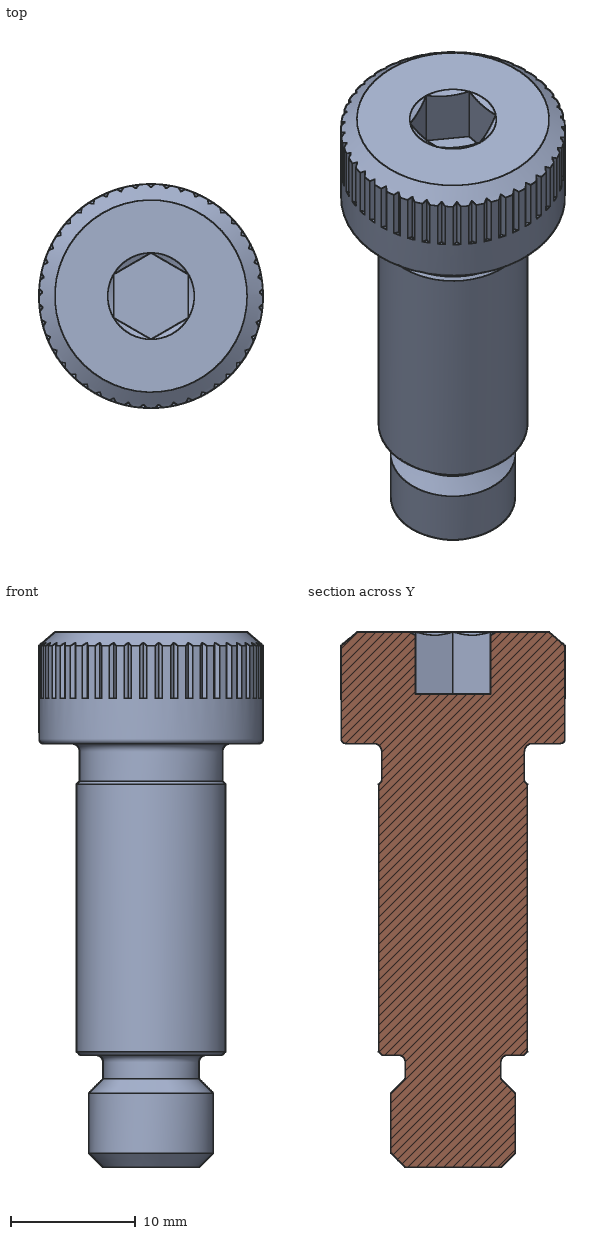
import cadquery as cq
import math

total_length = 43.0
head_height = 9.0
tip_length = 9.0
neck_length = 3.0
undercut_length = 1.9
head_base_z = total_length - head_height
neck_base_z = head_base_z - neck_length
undercut_base_z = tip_length - undercut_length

head_radius = 18.0 / 2
neck_radius = 11.52 / 2
shoulder_radius = 12.0 / 2
undercut_radius = 7.75 / 2
tip_radius = 10.0 / 2

head_chamfer_width = 1.3
head_chamfer_height = 1.1
head_base_fillet = 0.4
neck_fillet = 0.6
shoulder_chamfer = 0.3
undercut_fillet = 0.5
tip_chamfer = tip_radius - undercut_radius

socket_across_flats = 6.0
socket_depth = 5.0
socket_corner_radius = socket_across_flats / math.sqrt(3)
countersink_slope = 30.0

groove_count = 45
groove_depth = 0.28
groove_half_width = 0.3
groove_base_z = total_length - 5.35
groove_pitch = 360 / groove_count
first_groove_angle = -90 + groove_pitch / 2


def fillet_point(center_r, center_z, radius, direction):
    """Point on a fillet arc of the turned profile, in the given direction in degrees."""
    angle = math.radians(direction)
    return (center_r + radius * math.cos(angle), center_z + radius * math.sin(angle))


def turned_body():
    """Screw without socket or knurling, revolved about the Z axis."""
    neck_center = (neck_radius + neck_fillet, head_base_z - neck_fillet)
    undercut_center = (undercut_radius + undercut_fillet, tip_length - undercut_fillet)
    head_center = (head_radius - head_base_fillet, head_base_z + head_base_fillet)
    neck_step = shoulder_radius - neck_radius
    profile = (
        cq.Workplane("XZ")
        .moveTo(0, 0)
        .lineTo(undercut_radius, 0)
        .lineTo(tip_radius, tip_chamfer)
        .lineTo(tip_radius, undercut_base_z - tip_chamfer)
        .lineTo(undercut_radius, undercut_base_z)
        .lineTo(undercut_radius, undercut_center[1])
        .threePointArc(
            fillet_point(*undercut_center, undercut_fillet, 135),
            (undercut_center[0], tip_length),
        )
        .lineTo(shoulder_radius - shoulder_chamfer, tip_length)
        .lineTo(shoulder_radius, tip_length + shoulder_chamfer)
        .lineTo(shoulder_radius, neck_base_z - neck_step)
        .lineTo(neck_radius, neck_base_z)
        .lineTo(neck_radius, neck_center[1])
        .threePointArc(
            fillet_point(*neck_center, neck_fillet, 135),
            (neck_center[0], head_base_z),
        )
        .lineTo(head_center[0], head_base_z)
        .threePointArc(
            fillet_point(*head_center, head_base_fillet, -45),
            (head_radius, head_center[1]),
        )
        .lineTo(head_radius, total_length - head_chamfer_height)
        .lineTo(head_radius - head_chamfer_width, total_length)
        .lineTo(0, total_length)
        .close()
    )
    return profile.revolve(360, (0, 0, 0), (0, 1, 0))


def hex_socket():
    """Hexagonal recess joined with the shallow cone that breaks its rim."""
    hexagon = (
        cq.Workplane("XY", origin=(0, 0, total_length))
        .polygon(6, 2 * socket_corner_radius)
        .extrude(-socket_depth)
        .rotate((0, 0, 0), (0, 0, 1), 90)
    )
    countersink_depth = socket_corner_radius * math.tan(math.radians(countersink_slope))
    countersink = (
        cq.Workplane("XZ")
        .moveTo(0, total_length)
        .lineTo(socket_corner_radius, total_length)
        .lineTo(0, total_length - countersink_depth)
        .close()
        .revolve(360, (0, 0, 0), (0, 1, 0))
    )
    return hexagon.union(countersink)


def knurl_grooves():
    """List of V-shaped cutters, one for each groove, open through the top of the head."""
    overshoot = 0.45
    mouth_half_width = groove_half_width * (1 + overshoot / groove_depth)
    groove = (
        cq.Workplane("XY", origin=(0, 0, groove_base_z))
        .moveTo(head_radius - groove_depth, 0)
        .lineTo(head_radius + overshoot, mouth_half_width)
        .lineTo(head_radius + overshoot, -mouth_half_width)
        .close()
        .extrude(total_length - groove_base_z)
    )
    grooves = []
    for index in range(groove_count):
        angle = first_groove_angle + index * groove_pitch
        grooves.append(groove.rotate((0, 0, 0), (0, 0, 1), angle).val())
    return grooves


body = turned_body().cut(hex_socket()).val()
knurled_body = body.cut(*knurl_grooves())
result = cq.Workplane("XY").newObject(knurled_body.Solids())